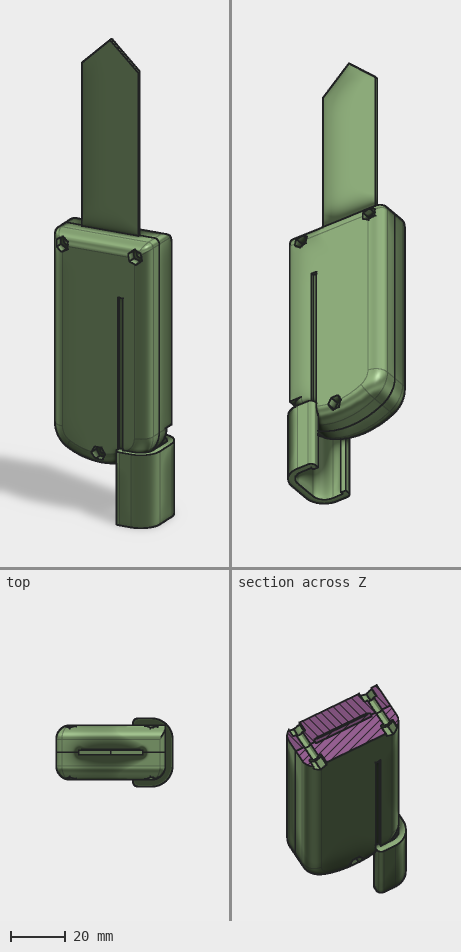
import cadquery as cq
import math

overall_height = 183.9

case_width = 40.0
case_depth = 20.0
case_height = 88.8
bottom_radius = 30.0
bottom_corner_radius = 11.0
face_fillet = 5.1
top_corner_radius = 2.0

screw_inset = 5.0
screw_hole_diameter = 2.5
hex_sides = 6
hex_pocket_across_corners = 5.7
hex_pocket_depth = 4.0
left_hex_turn = 30
right_hex_turn = 40
bottom_hex_turn = 0

blade_width = 23.4
blade_thickness = 1.5
blade_exposed = 74.5
blade_point_height = 10.8
blade_buried = 74.5
relief_width = 21.3
relief_depth = 0.4

groove_left = 8.0
groove_width = 2.2
groove_depth = 1.2
groove_top = -21.7
slider_side_wall = 2.8
slider_face_wall = 2.5
slider_corner_radius = face_fillet + slider_side_wall
slider_end_radius = 2.0
slider_top = -80.9
slider_bottom = blade_exposed - overall_height

half_width = case_width / 2
half_depth = case_depth / 2
groove_right = groove_left + groove_width

corner_x = half_width - bottom_corner_radius
arc_center_z = bottom_radius - case_height
center_distance = bottom_radius - bottom_corner_radius
corner_z = arc_center_z - math.sqrt(center_distance**2 - corner_x**2)


def box_between(x_min, x_max, y_min, y_max, z_min, z_max):
    """Box that fills the given range along each axis."""
    size = (x_max - x_min, y_max - y_min, z_max - z_min)
    return cq.Workplane("XY").box(*size, centered=False).translate((x_min, y_min, z_min))


def case_outline():
    """Case outline in the XZ plane, with tangent arcs at the bottom."""
    join_angle = math.asin(corner_x / center_distance)
    join_x = bottom_radius * math.sin(join_angle)
    join_z = arc_center_z - bottom_radius * math.cos(join_angle)
    middle_angle = (join_angle + math.pi / 2) / 2
    middle_x = corner_x + bottom_corner_radius * math.sin(middle_angle)
    middle_z = corner_z - bottom_corner_radius * math.cos(middle_angle)
    return (
        cq.Workplane("XZ")
        .moveTo(-half_width, 0)
        .lineTo(half_width, 0)
        .lineTo(half_width, corner_z)
        .threePointArc((middle_x, middle_z), (join_x, join_z))
        .threePointArc((0, -case_height), (-join_x, join_z))
        .threePointArc((-middle_x, middle_z), (-half_width, corner_z))
        .close()
    )


def cut_screw_hole(shell, x, z, hex_turn):
    """Cut a screw hole and its hexagonal pocket into a shell on the -Y side."""
    face = cq.Workplane("XZ", origin=(x, -half_depth, z))
    hole = face.circle(screw_hole_diameter / 2).extrude(-half_depth)
    hexagon = face.transformed(rotate=(0, 0, hex_turn)).polygon(hex_sides, hex_pocket_across_corners)
    return shell.cut(hole).cut(hexagon.extrude(-hex_pocket_depth))


def make_blade():
    """Flat blade with a pointed tip."""
    half_blade = blade_width / 2
    shoulder = blade_exposed - blade_point_height
    return (
        cq.Workplane("XZ", origin=(0, blade_thickness / 2, 0))
        .moveTo(-half_blade, -blade_buried)
        .lineTo(half_blade, -blade_buried)
        .lineTo(half_blade, shoulder)
        .lineTo(0, blade_exposed)
        .lineTo(-half_blade, shoulder)
        .close()
        .extrude(blade_thickness)
    )


def blade_relief():
    """Shallow gap behind the blade."""
    back_of_blade = blade_thickness / 2
    return box_between(
        -relief_width / 2,
        relief_width / 2,
        back_of_blade,
        back_of_blade + relief_depth,
        -blade_buried,
        0,
    )


def with_square_side_edge(shell):
    """Make the long +X edge square again, while the top edge stays rounded."""
    strip = box_between(half_width - face_fillet, half_width, -half_depth, 0, corner_z, 0)
    rounded_top = strip.edges("<Y and >Z").fillet(face_fillet)
    rounded_corner = strip.edges(">X and >Z").fillet(top_corner_radius)
    return shell.cut(strip).union(rounded_top.intersect(rounded_corner))


def make_shell(blade, has_square_edge):
    """Shell on the -Y side of the case, with half of the slot for the blade."""
    shell = case_outline().extrude(half_depth)
    shell = shell.faces("<Y").edges().fillet(face_fillet)
    shell = shell.faces(">Z").edges("|Y").fillet(top_corner_radius)
    if has_square_edge:
        shell = with_square_side_edge(shell)
    screw_x = half_width - screw_inset
    shell = cut_screw_hole(shell, -screw_x, -screw_inset, left_hex_turn)
    shell = cut_screw_hole(shell, screw_x, -screw_inset, right_hex_turn)
    shell = cut_screw_hole(shell, 0, screw_inset - case_height, bottom_hex_turn)
    groove = box_between(
        groove_left, groove_right, -half_depth, groove_depth - half_depth, -case_height, groove_top
    )
    return shell.cut(groove).cut(blade)


def make_slider():
    """Sleeve that wraps the +X side of the case, with lips in line with the grooves."""
    outer_depth = half_depth + slider_face_wall
    mouth_depth = half_depth - groove_depth
    heights = (slider_bottom, slider_top)
    sleeve = box_between(
        groove_left, half_width + slider_side_wall, -outer_depth, outer_depth, *heights
    )
    sleeve = sleeve.edges("|Z and >X").fillet(slider_corner_radius)
    sleeve = sleeve.edges("|Z and <X").fillet(slider_end_radius)
    channel = box_between(groove_right, half_width, -half_depth, half_depth, *heights)
    channel = channel.edges("|Z and >X").fillet(face_fillet)
    mouth = box_between(groove_left, groove_right, -mouth_depth, mouth_depth, *heights)
    return sleeve.cut(channel).cut(mouth)


blade = make_blade()
front_shell = make_shell(blade, has_square_edge=False)
back_shell = make_shell(blade, has_square_edge=True).mirror("XZ").cut(blade_relief())
slider = make_slider()

result = cq.Compound.makeCompound(
    [front_shell.val(), back_shell.val(), blade.val(), slider.val()]
)